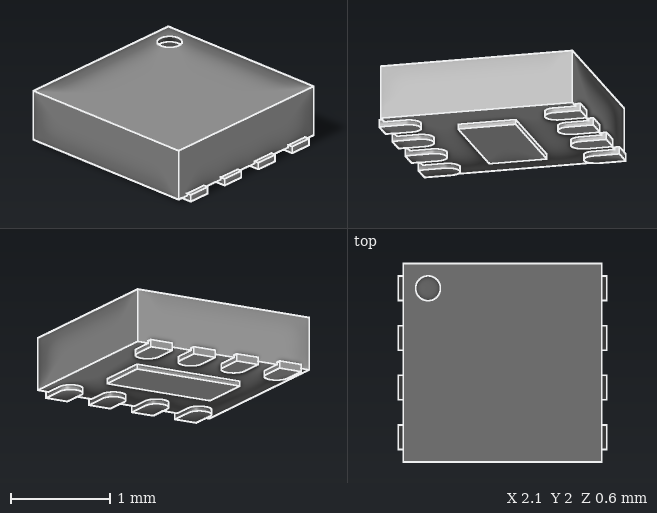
import cadquery as cq

overall_length = 2.1
body_side = 2.0
overall_height = 0.6
standoff = 0.05

lead_width = 0.25
lead_length = 0.401
lead_thickness = 0.075
lead_pitch = 0.5
leads_per_side = 4

pad_length_x = 0.6
pad_length_y = 1.2

dimple_diameter = 0.25
dimple_depth = 0.06
dimple_edge_distance = 0.25

lead_end_radius = lead_width / 2
lead_straight_length = lead_length - lead_end_radius
dimple_offset = body_side / 2 - dimple_edge_distance


def make_lead(side, y_center):
    """Flat lead with a square outer end and a round inner end; side is -1 for -X, +1 for +X."""
    tip_x = side * overall_length / 2
    round_start_x = tip_x - side * lead_straight_length
    inner_x = tip_x - side * lead_length
    low_y = y_center - lead_width / 2
    high_y = y_center + lead_width / 2
    return (
        cq.Workplane("XY")
        .moveTo(tip_x, low_y)
        .lineTo(round_start_x, low_y)
        .threePointArc((inner_x, y_center), (round_start_x, high_y))
        .lineTo(tip_x, high_y)
        .close()
        .extrude(lead_thickness)
    )


def make_pad():
    """Rectangular centre pad touching the housing underside."""
    return cq.Workplane("XY").rect(pad_length_x, pad_length_y).extrude(standoff)


def make_housing(leads):
    """Square housing with a pin-one dimple and recesses that fit the leads."""
    housing = (
        cq.Workplane("XY", origin=(0, 0, standoff))
        .rect(body_side, body_side)
        .extrude(overall_height - standoff)
    )
    dimple = (
        cq.Workplane("XY", origin=(-dimple_offset, dimple_offset, overall_height - dimple_depth))
        .circle(dimple_diameter / 2)
        .extrude(dimple_depth)
    )
    housing = housing.cut(dimple)
    for lead in leads:
        housing = housing.cut(lead)
    return housing


leads = []
for side in (-1, 1):
    for index in range(leads_per_side):
        y_center = (index - (leads_per_side - 1) / 2) * lead_pitch
        leads.append(make_lead(side, y_center))

pad = make_pad()
housing = make_housing(leads)

result = cq.Compound.makeCompound([housing.val(), pad.val(), *[lead.val() for lead in leads]])